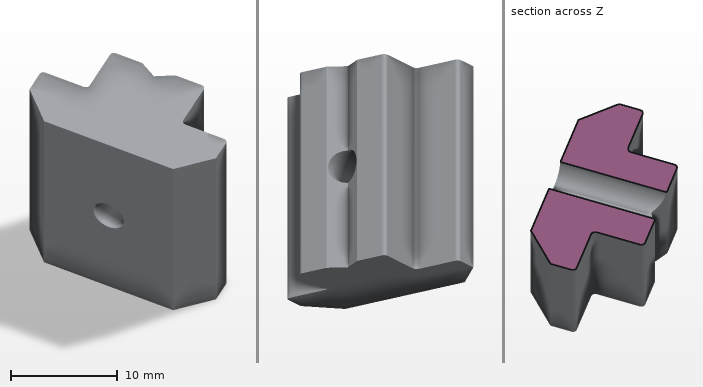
import cadquery as cq
import math

length = 20.0
flange_width = 19.5
total_depth = 10.6

flange_depth = 5.5
neck_width = 9.8
flange_chamfer = 3.0
edge_radius = 0.4

groove_depth = 1.0
groove_slope = math.radians(30)
groove_half_width = groove_depth / math.tan(groove_slope)

hole_diameter = 3.2

half_flange = flange_width / 2
half_neck = neck_width / 2


def make_profile_bar():
    """T-shaped profile extruded along Z, centred on the origin in X and Z."""
    right_half = [
        (half_flange - flange_chamfer, 0),
        (half_flange, flange_chamfer),
        (half_flange, flange_depth),
        (half_neck, flange_depth),
        (half_neck, total_depth),
        (groove_half_width, total_depth),
    ]
    groove_bottom = (0, total_depth - groove_depth)
    left_half = [(-x, y) for x, y in reversed(right_half)]
    outline = right_half + [groove_bottom] + left_half
    return (
        cq.Workplane("XY")
        .polyline(outline)
        .close()
        .extrude(length)
        .translate((0, 0, -length / 2))
    )


def round_edge_pair(body, x, y):
    """Round the two long edges that mirror each other at +x and -x."""
    for side in (-1, 1):
        edge_middle = (side * x, y, 0)
        body = body.edges(cq.selectors.NearestToPointSelector(edge_middle)).fillet(edge_radius)
    return body


def cut_cross_hole(body):
    """Round hole through the full depth, along Y at the middle of the bar."""
    hole = (
        cq.Workplane("XZ")
        .circle(hole_diameter / 2)
        .extrude(-total_depth)
    )
    return body.cut(hole)


bar = make_profile_bar()
bar = round_edge_pair(bar, half_flange, flange_depth)
bar = round_edge_pair(bar, half_neck, flange_depth)
bar = round_edge_pair(bar, half_neck, total_depth)
result = cut_cross_hole(bar)